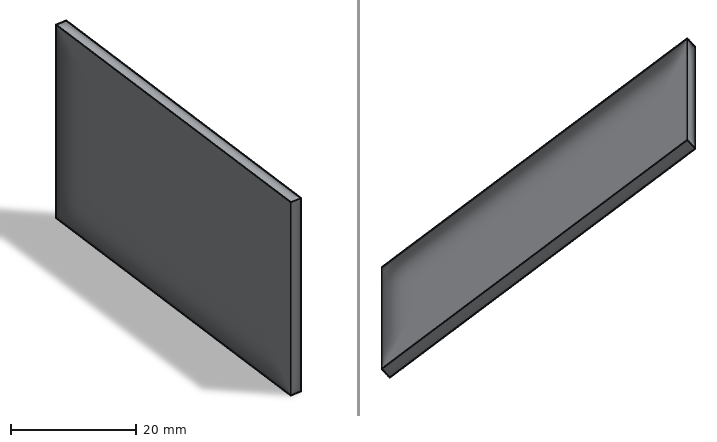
import cadquery as cq
import math

span_x = 63.5
height = 37.0
thickness = 2.0
tilt_degrees = 1.9

tilt = math.radians(tilt_degrees)
length = (span_x - thickness * math.sin(tilt)) / math.cos(tilt)

result = (
    cq.Workplane("XY")
    .box(length, thickness, height)
    .rotate((0, 0, 0), (0, 0, 1), -tilt_degrees)
)